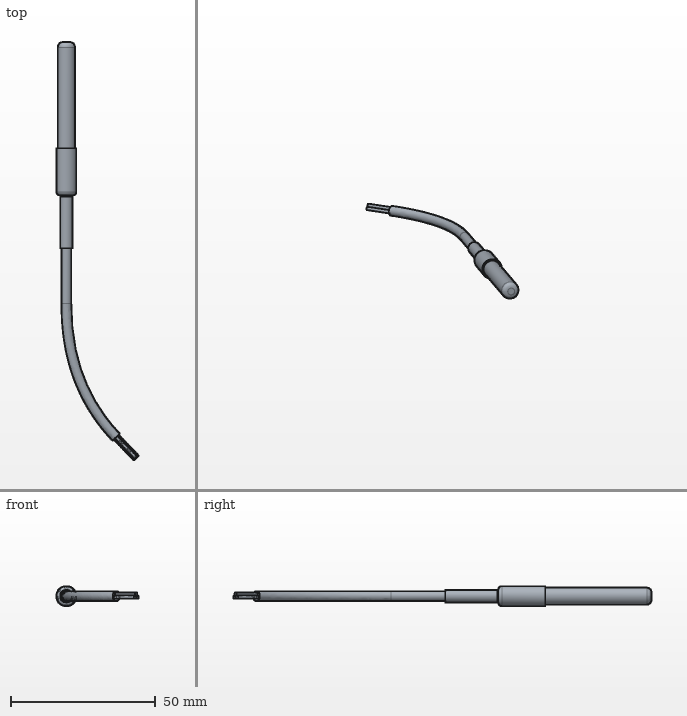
import cadquery as cq
import math


probe_diameter = 6.0
probe_length = 36.7
tip_rounding = 1.8
body_diameter = 7.0
body_length = 16.35
body_rounding = 1.3
sleeve_diameter = 4.4
neck_length = 0.4
sleeve_length = 17.85
cable_diameter = 3.5
straight_cable_length = 18.9
bend_sideways = 17.23
bend_drop = 46.38
bend_middle_sideways = 4.4
bend_middle_drop = 26.2
bend_angle = 44.0
wire_diameter = 1.2
wire_length = 9.95
wire_count = 3

shoulder_y = neck_length + body_length
sleeve_end_y = -sleeve_length
bend_start_y = sleeve_end_y - straight_cable_length

angle = math.radians(bend_angle)
heading = cq.Vector(math.sin(angle), -math.cos(angle), 0)
cable_end = cq.Vector(bend_sideways, bend_start_y - bend_drop, 0)


def rod(start_y, end_y, diameter):
    """Round bar on the sensor axis between two places along Y."""
    plane = cq.Plane(origin=(0, start_y, 0), xDir=(1, 0, 0), normal=(0, 1, 0))
    return cq.Workplane(plane).circle(diameter / 2).extrude(end_y - start_y)


def make_housing():
    """Probe, thicker body and short rear neck in one piece, rounded at the tip and behind the body."""
    probe = rod(shoulder_y, shoulder_y + probe_length, probe_diameter)
    probe = probe.faces(">Y").edges().fillet(tip_rounding)
    body = rod(neck_length, shoulder_y, body_diameter)
    body = body.faces("<Y").edges().fillet(body_rounding)
    neck = rod(0, neck_length, sleeve_diameter)
    return probe.union(body).union(neck)


def make_sleeve():
    """Strain-relief sleeve between the housing and the cable."""
    return rod(sleeve_end_y, 0, sleeve_diameter)


def make_cable():
    """Cable jacket: a straight run, then a smooth curve turning towards +X."""
    straight = rod(bend_start_y, sleeve_end_y, cable_diameter)
    bend_start = cq.Vector(0, bend_start_y, 0)
    bend_middle = cq.Vector(bend_middle_sideways, bend_start_y - bend_middle_drop, 0)
    axis_direction = cq.Vector(0, -1, 0)
    centreline = cq.Workplane("XY").spline(
        [bend_start, bend_middle, cable_end],
        tangents=[axis_direction, heading],
    )
    start_plane = cq.Plane(origin=bend_start, xDir=(1, 0, 0), normal=axis_direction)
    bend = cq.Workplane(start_plane).circle(cable_diameter / 2).sweep(centreline)
    return straight.union(bend, clean=False)


def make_wires():
    """Round wires touching one another in a ring, running straight on from the cable end."""
    ring_radius = wire_diameter / 2 / math.sin(math.pi / wire_count)
    across = cq.Vector(0, 0, 1)
    end_plane = cq.Plane(origin=cable_end, xDir=across, normal=heading)
    wires = []
    for index in range(wire_count):
        turn = 2 * math.pi * index / wire_count
        centre = (ring_radius * math.cos(turn), ring_radius * math.sin(turn))
        wire = cq.Workplane(end_plane).center(*centre).circle(wire_diameter / 2).extrude(wire_length)
        wires.append(wire)
    return wires


housing = make_housing()
sleeve = make_sleeve()
cable = make_cable()
wires = make_wires()

result = cq.Compound.makeCompound(
    [housing.val(), sleeve.val(), cable.val(), *[wire.val() for wire in wires]]
)